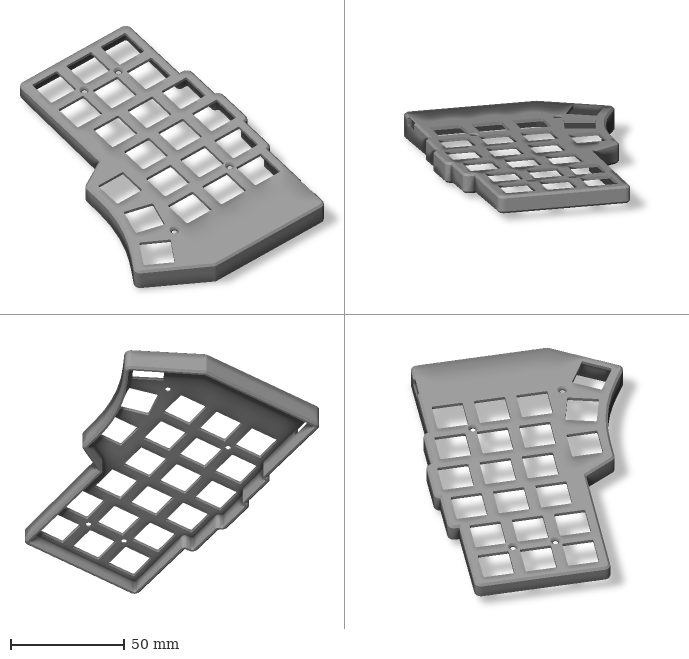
import cadquery as cq
import math

width = 141.2
finished_height = 11.7
plate = 1.5
wall = 2.0
corner_radius = 3.0
edge_chamfer = 1.0
tilt = math.radians(1.5)

height = finished_height + edge_chamfer * math.tan(tilt)
left_end_rise = width * math.tan(tilt)

stagger = 2.4
peak_top = 97.0
mid_top = peak_top - stagger
right_top = peak_top - 2 * stagger
left_top = peak_top - 3 * stagger
left_bottom = 28.7
mid_left = 38.0
mid_right = 99.1
peak_left = 57.5
peak_right = 79.6

thumb_bottom = 14.0
thumb_corner_x = 59.0
fan_start_x = 78.2
fan_radius = 70.2
fan_angle = math.radians(30)
flank_angle = math.radians(60)
tip_length = 11.3

key_size = 14.0
key_corner = 0.5
row_count = 3
row_pitch = 19.0
column_steps = [0, 0, 2, 3, 2, 1]
column_span = 95.0
column_pitch = column_span / (len(column_steps) - 1)
first_key_x = 11.6
last_row_y = 40.2
thumb_keys = [(fan_start_x, 25.5, 0), (99.4, 22.7, -15), (119.5, 14.4, -30)]

screw_hole = 2.4
screw_head = 4.5
screw_angle = 90
left_screw_x = first_key_x + column_pitch / 2
screw_places = [
    (left_screw_x, last_row_y + 0.5 * row_pitch),
    (left_screw_x, last_row_y + 1.5 * row_pitch),
    (first_key_x + 4.5 * column_pitch, 72.3),
    (113.2, 28.8),
]

usb_x = 127.8
usb_top = 11.5
usb_width = 10.0
usb_height = 4.0
usb_corner = 1.0

clearance = 1.4


def base_block():
    """Vertical-sided block of the outline without the raised back edge."""
    flank_run = (left_bottom - thumb_bottom) / math.tan(flank_angle)
    thumb_left = thumb_corner_x + flank_run

    def on_fan(angle):
        x = fan_start_x + fan_radius * math.sin(angle)
        y = thumb_bottom - fan_radius * (1 - math.cos(angle))
        return x, y

    fan_end = on_fan(fan_angle)
    tip_x = fan_end[0] + tip_length * math.cos(fan_angle)
    tip_y = fan_end[1] - tip_length * math.sin(fan_angle)
    right_bottom = tip_y + (width - tip_x) * math.tan(flank_angle)
    seam_x = mid_right - corner_radius

    block = (
        cq.Workplane("XY")
        .moveTo(0, left_bottom)
        .lineTo(thumb_corner_x, left_bottom)
        .lineTo(thumb_left, thumb_bottom)
        .lineTo(fan_start_x, thumb_bottom)
        .threePointArc(on_fan(fan_angle / 2), fan_end)
        .lineTo(tip_x, tip_y)
        .lineTo(width, right_bottom)
        .lineTo(width, right_top)
        .lineTo(seam_x, right_top)
        .lineTo(seam_x, left_top)
        .lineTo(0, left_top)
        .close()
        .extrude(height)
    )
    rounded_corners = [
        (0, left_bottom),
        (thumb_left, thumb_bottom),
        (tip_x, tip_y),
        (width, right_top),
        (0, left_top),
    ]
    for x, y in rounded_corners:
        corner = cq.selectors.NearestToPointSelector((x, y, height / 2))
        block = block.edges("|Z").edges(corner).fillet(corner_radius)
    return block


def raised_back(left, right, top):
    """Block with rounded back corners that carries the back edge out to `top`."""
    front = left_bottom + corner_radius
    return (
        cq.Workplane("XY")
        .box(right - left, top - front, height, centered=False)
        .translate((left, front, 0))
        .edges("|Z and >Y")
        .fillet(corner_radius)
    )


def full_block():
    """Vertical-sided block of the whole plan outline."""
    return (
        base_block()
        .union(raised_back(mid_left, mid_right, mid_top))
        .union(raised_back(peak_left, peak_right, peak_top))
        .clean()
    )


def tilt_wedge():
    """Wedge below the tilted underside, thickest at the left end."""
    return (
        cq.Workplane("XZ", origin=(0, peak_top + clearance, 0))
        .polyline([(0, 0), (0, left_end_rise), (width, 0)])
        .close()
        .extrude(peak_top + 2 * clearance)
    )


def cavity(block):
    """Hollow inside the wall and below the plate, open at the underside."""
    return (
        cq.Workplane("XY")
        .add(block.faces("<Z").wires().vals())
        .toPending()
        .offset2D(-wall)
        .extrude(height - plate)
    )


def key_places():
    """Centre and rotation in degrees of every key window."""
    places = list(thumb_keys)
    for column, steps in enumerate(column_steps):
        x = first_key_x + column * column_pitch
        for row in range(row_count):
            y = last_row_y + row * row_pitch + steps * stagger
            places.append((x, y, 0))
    return places


def key_window(x, y, angle):
    return (
        cq.Workplane("XY")
        .rect(key_size, key_size)
        .extrude(height + clearance)
        .edges("|Z")
        .fillet(key_corner)
        .rotate((0, 0, 0), (0, 0, 1), angle)
        .translate((x, y, 0))
    )


def usb_port():
    return (
        cq.Workplane("XZ", origin=(usb_x, right_top + clearance, usb_top - usb_height / 2))
        .rect(usb_width, usb_height)
        .extrude(clearance + wall)
        .edges("|Y")
        .fillet(usb_corner)
    )


block = full_block()
case = block.cut(tilt_wedge())
case = case.faces(">Z").chamfer(edge_chamfer)
case = case.faces("<Z").chamfer(edge_chamfer)
case = case.cut(cavity(block))
for x, y, angle in key_places():
    case = case.cut(key_window(x, y, angle))
case = (
    case.faces(">Z")
    .workplane(origin=(0, 0, height))
    .pushPoints(screw_places)
    .cskHole(screw_hole, screw_head, screw_angle)
)
result = case.cut(usb_port())